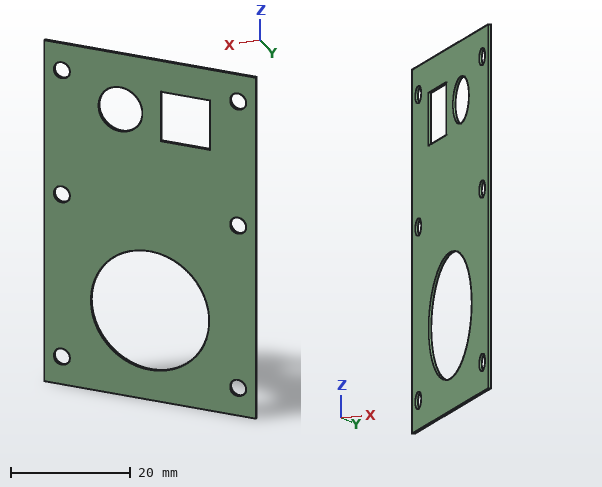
import cadquery as cq
import math

footprint = 27.7
height = 62.2
thickness = 0.5
width = footprint * math.sqrt(2) - thickness

mount_diameter = 2.9
mount_column = 16.1
mount_rows = (26.2, 3.55, -26.05)

upper_level = 20.95
window_side = 9.0
window_x = -6.45
small_port_diameter = 8.0
small_port_x = 5.4

large_port_diameter = 21.65
large_port_level = -14.8

panel_plane = cq.Plane(origin=(0, 0, 0), xDir=(1, -1, 0), normal=(-1, -1, 0))


def through_cutter():
    """Start a sketch clear of the panel's back face."""
    return cq.Workplane(panel_plane).workplane(offset=-thickness)


def round_cutter(points, diameter):
    return through_cutter().pushPoints(points).circle(diameter / 2).extrude(2 * thickness)


panel = cq.Workplane(panel_plane).box(width, height, thickness)

mount_points = [(x, y) for x in (-mount_column, mount_column) for y in mount_rows]
mount_holes = round_cutter(mount_points, mount_diameter)
small_port = round_cutter([(small_port_x, upper_level)], small_port_diameter)
large_port = round_cutter([(0, large_port_level)], large_port_diameter)
window = (
    through_cutter()
    .center(window_x, upper_level)
    .rect(window_side, window_side)
    .extrude(2 * thickness)
)

result = panel.cut(mount_holes).cut(small_port).cut(large_port).cut(window)